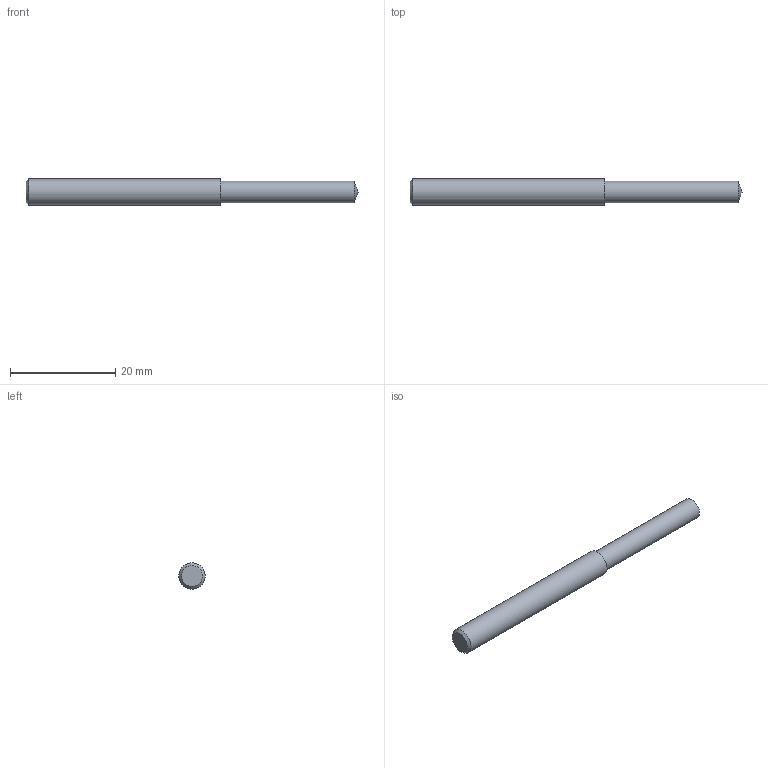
import cadquery as cq
import math

overall_length = 63.0
shank_diameter = 5.0
shank_length = 37.0
shank_chamfer = 0.5
cutting_diameter = 4.1
point_angle = 140.0

shank_radius = shank_diameter / 2
cutting_radius = cutting_diameter / 2
point_length = cutting_radius / math.tan(math.radians(point_angle / 2))
cutting_length = overall_length - shank_length - point_length


def make_shank():
    """Thick cylinder with its free end chamfered."""
    shank = cq.Workplane("YZ").circle(shank_radius).extrude(shank_length)
    return shank.faces("<X").chamfer(shank_chamfer)


def make_cutting_section():
    """Thinner cylinder ending in a conical point, as one revolved half profile."""
    point_start = shank_length + cutting_length
    half_profile = (
        cq.Workplane("XY")
        .moveTo(shank_length, 0)
        .lineTo(shank_length, cutting_radius)
        .lineTo(point_start, cutting_radius)
        .lineTo(overall_length, 0)
        .close()
    )
    return half_profile.revolve(360, (0, 0, 0), (1, 0, 0))


result = make_shank().union(make_cutting_section())